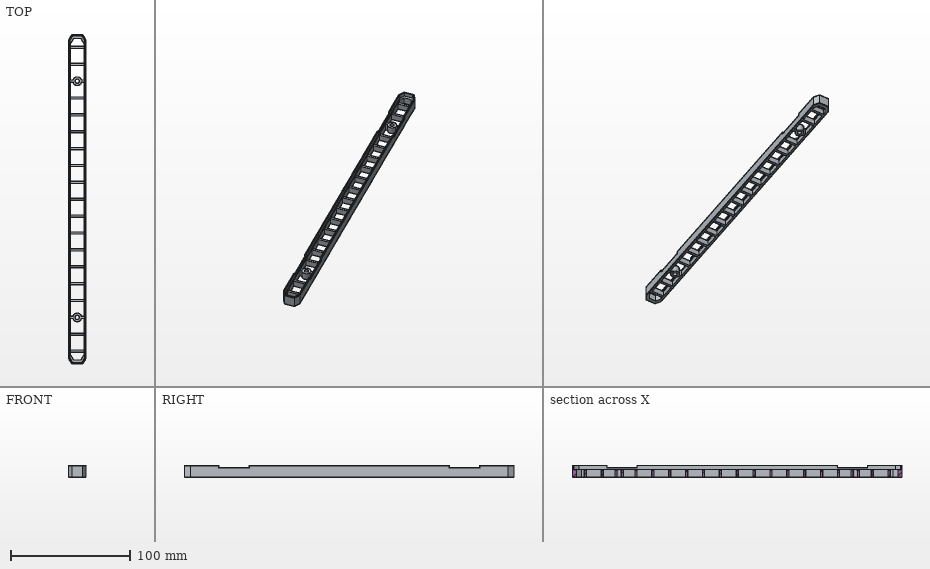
import cadquery as cq
import math

width = 15.0
length = 276.0
height = 10.0
corner_x = 3.0
corner_y = 5.0
edge_break = 0.4

lip = 1.25
side_wall = 2.0
end_wall = 3.5
corner_wall = 3.1
ledge_z = 6.5

notch_length = 25.0
notch_depth = 2.0
notch_center_y = 96.5

rib_pitch = 14.125
last_rib = 9
rib_thickness = 2.0
rib_height = 5.75
rib_length = width - 2 * lip

boss_rib = 7
hole_diameter = 3.4
boss_wall = 2.0
boss_diameter = hole_diameter + 2 * boss_wall
boss_height = ledge_z


def cut_corner_prism(side_inset, end_inset, corner_inset, bottom_z):
    """Prism up to the top of the bar, its sides, ends and corners set in from the outer outline."""
    half_x = width / 2 - side_inset
    half_y = length / 2 - end_inset

    outer_corner_line = corner_y * (width / 2 - corner_x) + corner_x * length / 2
    corner_line = outer_corner_line - corner_inset * math.hypot(corner_x, corner_y)
    end_x = (corner_line - corner_x * half_y) / corner_y
    side_y = (corner_line - corner_y * half_x) / corner_x

    outline = [
        (end_x, -half_y),
        (half_x, -side_y),
        (half_x, side_y),
        (end_x, half_y),
        (-end_x, half_y),
        (-half_x, side_y),
        (-half_x, -side_y),
        (-end_x, -half_y),
    ]
    plane = cq.Workplane("XY", origin=(0, 0, bottom_z))
    return plane.polyline(outline).close().extrude(height - bottom_z)


def make_outer_body():
    """Solid notched bar with its bottom, top and notch edges broken."""
    body = cut_corner_prism(0, 0, 0, 0)
    for side in (-1, 1):
        notch_floor = cq.Workplane("XY", origin=(0, side * notch_center_y, height - notch_depth))
        body = body.cut(notch_floor.rect(width, notch_length).extrude(notch_depth))

    body = body.faces("<Z").chamfer(edge_break)
    upper_region = cq.selectors.BoxSelector(
        (-width, -length, 0.6 * height),
        (width, length, 1.1 * height),
    )
    return body.faces(">Z or <X or >X").edges(upper_region).chamfer(edge_break)


def make_rib(y, rib_top):
    return cq.Workplane("XY", origin=(0, y, 0)).rect(rib_length, rib_thickness).extrude(rib_top)


def make_cylinder(y, diameter):
    return cq.Workplane("XY", origin=(0, y, 0)).circle(diameter / 2).extrude(boss_height)


lower_cavity = cut_corner_prism(side_wall, end_wall, corner_wall, 0)
upper_cavity = cut_corner_prism(lip, lip, lip, ledge_z)
result = make_outer_body().cut(lower_cavity).cut(upper_cavity)

for rib in range(-last_rib, last_rib + 1):
    rib_top = boss_height if abs(rib) == boss_rib else rib_height
    result = result.union(make_rib(rib * rib_pitch, rib_top))

for side in (-1, 1):
    boss_y = side * boss_rib * rib_pitch
    result = result.union(make_cylinder(boss_y, boss_diameter))
    result = result.cut(make_cylinder(boss_y, hole_diameter))